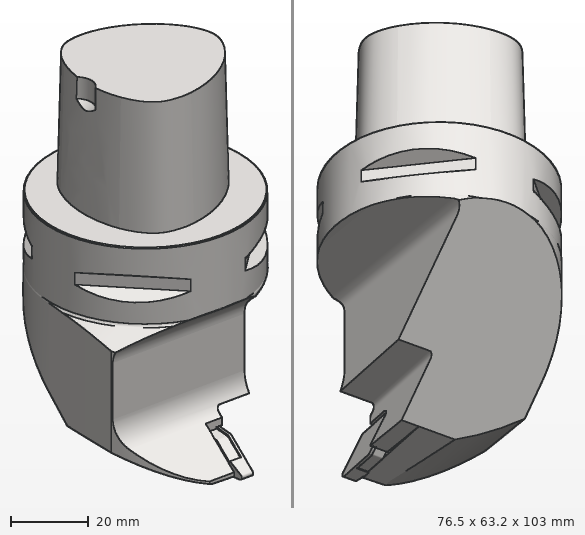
import cadquery as cq
import math


SHANK_LENGTH = 38.0
SHANK_MEAN_RADIUS = 22.1
SHANK_TAPER = 1 / 40
LOBE_HEIGHT = 1.5
FLAT_HALF_ANGLE = 22.5
POINTS_PER_CURVE = 9

NOTCH_RADIUS = 5.2
NOTCH_DEEPEST_Y = -17.7
NOTCH_DEPTH = 6.4
NOTCH_TIP_DEPTH = 3.9

FLANGE_RADIUS = 31.5
FLANGE_THICKNESS = 22.4
FLANGE_CHAMFER = 0.3
GROOVE_FLOOR_DISTANCE = 27.7
GROOVE_CENTRE_Z = -12.2
GROOVE_FLOOR_WIDTH = 3.5
GROOVE_SIDE_ANGLE = 30
GROOVE_COUNT = 4

TOOL_BOTTOM = -65.0
NECK_RADIUS = 31.6
NECK_FRONT_Y = -31.7
NECK_FRONT_START_X = 15.1
NECK_FRONT_END_X = 26.1
HEAD_END_X = 42.7
HEAD_CORNER_Y = -12.6
HEAD_ARC_MIDDLE = (36.7, -23.5)
NECK_FLAT_Y = 11.7
NECK_FLAT_FILLET = 3.1
UNDERSIDE_EDGE_Z = -22.1
UNDERSIDE_SLOPE = 5
SHOULDER_FILLET = 0.8
SHOULDER_SLOPE = 16
NECK_WALL_X = 26.5
UPPER_ARC_RADIUS = 8.0
UPPER_ARC_Z = -29.0
LOWER_ARC_RADIUS = 10.0
LOWER_ARC_Z = -45.6
BACK_SLOPE_TOP = (-31.5, -21.6)
BACK_SLOPE_BOTTOM = (16.3, -63.0)
BELLY_ARC = [(NECK_FRONT_Y, -55.5), (-20.9, -61.1), (-11.7, -64.3)]
RELIEF_ANGLE = 3
HEAD_FACE_Y = 0.8
STEP_START = (1.3, -50.2)
STEP_FILLET = 1.2

INSERT_ANGLE = 35
INSERT_SIDE = 14.0
INSERT_THICKNESS = 4.5
NOSE_RADIUS = 0.8
NOSE_X = 45.0
BLUNT_RADIUS = 1.2
LAND_THICKNESS = 0.9
FLANK_RECESS = 0.4
NOSE_BLOCK_LENGTH = 7.2
NOSE_HEEL_START_X = 41.2
NOSE_HEEL_ANGLE = 12
POCKET_OPEN_X = 30.9

MARGIN = 5.2


def xz_prism(sketch, y_low, y_high):
    """Extrude a closed XZ outline between two Y values."""
    return sketch.extrude(y_high - y_low).translate((0, y_high, 0))


def lobe_point(mean_radius, normal_angle, z):
    """Point of the shank outline whose outward normal has the given angle in degrees from -Y."""
    turn = math.radians(normal_angle)
    reach = mean_radius - LOBE_HEIGHT * math.cos(3 * turn)
    shift = 3 * LOBE_HEIGHT * math.sin(3 * turn)
    x = reach * math.sin(turn) + shift * math.cos(turn)
    y = -reach * math.cos(turn) + shift * math.sin(turn)
    return cq.Vector(x, y, z)


def lobe_direction(normal_angle):
    turn = math.radians(normal_angle)
    return cq.Vector(math.cos(turn), math.sin(turn), 0)


def shank_outline(z):
    """Six curves: three flat sides and three lobes."""
    mean_radius = SHANK_MEAN_RADIUS - SHANK_TAPER * z
    curves = []
    for side in range(3):
        flat_start = 120 * side - FLAT_HALF_ANGLE
        flat_end = 120 * side + FLAT_HALF_ANGLE
        lobe_end = flat_start + 120
        for start, end in [(flat_start, flat_end), (flat_end, lobe_end)]:
            step = (end - start) / (POINTS_PER_CURVE - 1)
            points = [lobe_point(mean_radius, start + i * step, z) for i in range(POINTS_PER_CURVE)]
            ends = [lobe_direction(start), lobe_direction(end)]
            curves.append(cq.Edge.makeSpline(points, tangents=ends))
    return cq.Wire.assembleEdges(curves)


def make_shank():
    shank = cq.Workplane(cq.Solid.makeLoft([shank_outline(0), shank_outline(SHANK_LENGTH)], True))
    notch_floor = SHANK_LENGTH - NOTCH_DEPTH
    notch = (
        cq.Workplane("XZ")
        .moveTo(0, SHANK_LENGTH + MARGIN)
        .lineTo(NOTCH_RADIUS, SHANK_LENGTH + MARGIN)
        .lineTo(NOTCH_RADIUS, notch_floor)
        .lineTo(0, notch_floor - NOTCH_TIP_DEPTH)
        .close()
        .revolve(360, (0, 0, 0), (0, 1, 0))
        .translate((0, NOTCH_DEEPEST_Y - NOTCH_RADIUS, 0))
    )
    return shank.cut(notch)


def make_flange():
    flange = cq.Workplane("XY").circle(FLANGE_RADIUS).extrude(-FLANGE_THICKNESS)
    flange = flange.faces(">Z").edges().chamfer(FLANGE_CHAMFER)
    depth = FLANGE_RADIUS + MARGIN - GROOVE_FLOOR_DISTANCE
    floor_half = GROOVE_FLOOR_WIDTH / 2
    mouth_half = floor_half + depth * math.tan(math.radians(GROOVE_SIDE_ANGLE))
    mouth_x = GROOVE_FLOOR_DISTANCE + depth
    groove_outline = cq.Workplane("XZ").polyline(
        [
            (GROOVE_FLOOR_DISTANCE, GROOVE_CENTRE_Z - floor_half),
            (mouth_x, GROOVE_CENTRE_Z - mouth_half),
            (mouth_x, GROOVE_CENTRE_Z + mouth_half),
            (GROOVE_FLOOR_DISTANCE, GROOVE_CENTRE_Z + floor_half),
        ]
    ).close()
    groove = xz_prism(groove_outline, -FLANGE_RADIUS, FLANGE_RADIUS)
    spacing = 360 / GROOVE_COUNT
    for i in range(GROOVE_COUNT):
        flange = flange.cut(groove.rotate((0, 0, 0), (0, 0, 1), spacing * (i + 0.5)))
    return flange


def neck_plan():
    """Neck and head seen along the axis: round behind, with the head reaching out to +X."""
    face_start_x = math.sqrt(NECK_RADIUS**2 - HEAD_FACE_Y**2)
    return (
        cq.Workplane("XY", origin=(0, 0, TOOL_BOTTOM))
        .moveTo(face_start_x, HEAD_FACE_Y)
        .threePointArc((-NECK_RADIUS, 0), (0, -NECK_RADIUS))
        .lineTo(NECK_FRONT_START_X, NECK_FRONT_Y)
        .lineTo(NECK_FRONT_END_X, NECK_FRONT_Y)
        .threePointArc(HEAD_ARC_MIDDLE, (HEAD_END_X, HEAD_CORNER_Y))
        .lineTo(HEAD_END_X, HEAD_FACE_Y)
        .close()
        .extrude(-TOOL_BOTTOM - FLANGE_THICKNESS / 2)
    )


def shoulder_limit():
    """Space below the sloping shoulder, which falls away outside the flange."""
    slope = math.radians(SHOULDER_SLOPE)
    fillet_centre_r = FLANGE_RADIUS + SHOULDER_FILLET

    def fillet_point(turn):
        return (
            fillet_centre_r - SHOULDER_FILLET * math.cos(turn),
            -FLANGE_THICKNESS - SHOULDER_FILLET * math.sin(turn),
        )

    fillet_end_turn = math.pi / 2 - slope
    fillet_end = fillet_point(fillet_end_turn)
    outer_radius = HEAD_END_X + MARGIN
    outer_z = fillet_end[1] - (outer_radius - fillet_end[0]) * math.tan(slope)
    return (
        cq.Workplane("XZ")
        .moveTo(0, TOOL_BOTTOM - MARGIN)
        .lineTo(outer_radius, TOOL_BOTTOM - MARGIN)
        .lineTo(outer_radius, outer_z)
        .lineTo(*fillet_end)
        .threePointArc(fillet_point(fillet_end_turn / 2), fillet_point(0))
        .lineTo(0, -FLANGE_THICKNESS)
        .close()
        .revolve(360, (0, 0, 0), (0, 1, 0))
    )


def side_limit():
    """YZ section: sloping underside, flat +Y face, and rounded belly under the head."""
    slope = math.tan(math.radians(UNDERSIDE_SLOPE))
    flat_top = UNDERSIDE_EDGE_Z - (FLANGE_RADIUS - NECK_FLAT_Y) * slope
    front_y = NECK_FRONT_Y - MARGIN
    belly_start, belly_middle, belly_end = BELLY_ARC
    section = (
        cq.Workplane("YZ")
        .moveTo(FLANGE_RADIUS, 0)
        .lineTo(FLANGE_RADIUS, UNDERSIDE_EDGE_Z)
        .lineTo(NECK_FLAT_Y, flat_top)
        .lineTo(NECK_FLAT_Y, TOOL_BOTTOM)
        .lineTo(*belly_end)
        .threePointArc(belly_middle, belly_start)
        .lineTo(front_y, belly_start[1])
        .lineTo(front_y, 0)
        .close()
        .extrude(HEAD_END_X + MARGIN, both=True)
    )
    inner_edge = cq.selectors.BoxSelector(
        (-MARGIN, NECK_FLAT_Y - 1, flat_top - 1), (MARGIN, NECK_FLAT_Y + 1, flat_top + 1)
    )
    return section.edges(inner_edge).fillet(NECK_FLAT_FILLET)


def front_limit():
    """XZ section: the straight back slope, the hollow neck wall and the sloping head."""
    edge_angle = math.radians(RELIEF_ANGLE + INSERT_ANGLE)
    slope_x, slope_top = BACK_SLOPE_TOP
    back_x, back_z = BACK_SLOPE_BOTTOM
    back_rate = (back_z - slope_top) / (back_x - slope_x)
    left = slope_x - MARGIN
    left_z = slope_top - MARGIN * back_rate
    upper_x = NECK_WALL_X + UPPER_ARC_RADIUS
    upper_top = (upper_x, UPPER_ARC_Z + UPPER_ARC_RADIUS)
    diagonal = UPPER_ARC_RADIUS * math.sqrt(0.5)
    upper_middle = (upper_x - diagonal, UPPER_ARC_Z + diagonal)

    def lower_point(slope):
        return (
            NECK_WALL_X + LOWER_ARC_RADIUS * (1 - math.sin(slope)),
            LOWER_ARC_Z - LOWER_ARC_RADIUS * math.cos(slope),
        )

    arc_end_x, arc_end_z = lower_point(edge_angle)
    lower_middle = lower_point((edge_angle + math.pi / 2) / 2)
    head_top = arc_end_z - (HEAD_END_X - arc_end_x) * math.tan(edge_angle)
    head_bottom = back_z - (HEAD_END_X - back_x) * math.tan(math.radians(RELIEF_ANGLE))
    outline = (
        cq.Workplane("XZ")
        .moveTo(left, MARGIN)
        .lineTo(left, left_z)
        .lineTo(back_x, back_z)
        .lineTo(HEAD_END_X, head_bottom)
        .lineTo(HEAD_END_X, head_top)
        .lineTo(arc_end_x, arc_end_z)
        .threePointArc(lower_middle, (NECK_WALL_X, LOWER_ARC_Z))
        .lineTo(NECK_WALL_X, UPPER_ARC_Z)
        .threePointArc(upper_middle, upper_top)
        .lineTo(upper_x, MARGIN)
        .close()
    )
    return xz_prism(outline, NECK_FRONT_Y - MARGIN, FLANGE_RADIUS + MARGIN)


def head_step():
    """Space above the head's working face, under a floor tilted by the relief angle."""
    start_x, start_z = STEP_START
    left = start_x - MARGIN
    right = HEAD_END_X + MARGIN
    tilt = math.tan(math.radians(RELIEF_ANGLE))
    outline = cq.Workplane("XZ").polyline(
        [
            (left, start_z + MARGIN * tilt),
            (right, start_z - (right - start_x) * tilt),
            (right, TOOL_BOTTOM - MARGIN),
            (left, TOOL_BOTTOM - MARGIN),
        ]
    ).close()
    step = xz_prism(outline, HEAD_FACE_Y, FLANGE_RADIUS)
    return step.faces("<Y").edges(">Z").fillet(STEP_FILLET)


def insert_frame():
    """Sharp tip of the insert in XZ, with unit directions along its bottom and sloping edges."""
    bottom_turn = math.radians(180 - RELIEF_ANGLE)
    slope_turn = bottom_turn - math.radians(INSERT_ANGLE)
    middle_turn = (bottom_turn + slope_turn) / 2
    tip_distance = NOSE_RADIUS / math.sin(math.radians(INSERT_ANGLE / 2))
    tip = (
        NOSE_X - NOSE_RADIUS - tip_distance * math.cos(middle_turn),
        TOOL_BOTTOM + NOSE_RADIUS - tip_distance * math.sin(middle_turn),
    )
    bottom_way = (math.cos(bottom_turn), math.sin(bottom_turn))
    slope_way = (math.cos(slope_turn), math.sin(slope_turn))
    return tip, bottom_way, slope_way


def rhombus(y_low, y_high):
    """Prism with the insert's outline, rounded at the acute and obtuse corners."""
    tip, bottom_way, slope_way = insert_frame()

    def corner(along_bottom, along_slope):
        bottom_step = INSERT_SIDE * along_bottom
        slope_step = INSERT_SIDE * along_slope
        x = tip[0] + bottom_step * bottom_way[0] + slope_step * slope_way[0]
        z = tip[1] + bottom_step * bottom_way[1] + slope_step * slope_way[1]
        return x, z

    outline = cq.Workplane("XZ").polyline([corner(0, 0), corner(1, 0), corner(1, 1), corner(0, 1)]).close()
    prism = xz_prism(outline, y_low, y_high)
    prism = prism.edges("|Y").edges("<X or >X").fillet(NOSE_RADIUS)
    blunt_corners = [corner(1, 0), corner(0, 1)]
    for x, z in blunt_corners:
        near = cq.selectors.NearestToPointSelector((x, (y_low + y_high) / 2, z))
        prism = prism.edges("|Y").edges(near).fillet(BLUNT_RADIUS)
    return prism


def make_insert():
    tip, bottom_way, slope_way = insert_frame()
    land = rhombus(-LAND_THICKNESS, 0)
    full = rhombus(-INSERT_THICKNESS, -LAND_THICKNESS)
    core = (
        full.faces("<Y")
        .wires()
        .toPending()
        .workplane()
        .offset2D(-FLANK_RECESS)
        .extrude(LAND_THICKNESS - INSERT_THICKNESS, combine=False)
    )
    nose_region = cq.Workplane("XZ").polyline(
        [
            tip,
            (tip[0] + NOSE_BLOCK_LENGTH * bottom_way[0], tip[1] + NOSE_BLOCK_LENGTH * bottom_way[1]),
            (tip[0] + NOSE_BLOCK_LENGTH * slope_way[0], tip[1] + NOSE_BLOCK_LENGTH * slope_way[1]),
        ]
    ).close()
    nose = full.intersect(xz_prism(nose_region, -INSERT_THICKNESS, -LAND_THICKNESS))
    heel_rise = (tip[0] - NOSE_HEEL_START_X) * math.tan(math.radians(NOSE_HEEL_ANGLE))
    heel = (
        cq.Workplane("XY", origin=(0, 0, TOOL_BOTTOM - MARGIN))
        .moveTo(NOSE_HEEL_START_X, -INSERT_THICKNESS)
        .lineTo(tip[0], -INSERT_THICKNESS + heel_rise)
        .lineTo(tip[0], -INSERT_THICKNESS)
        .close()
        .extrude(INSERT_SIDE)
    )
    return land.union(core).union(nose).cut(heel)


def pocket_box(x_start, z_top):
    """Open part of the pocket: everything above the seat, beyond x_start and below z_top."""
    floor_z = TOOL_BOTTOM - MARGIN
    box = cq.Workplane("XY").box(
        HEAD_END_X + MARGIN - x_start, INSERT_THICKNESS + MARGIN, z_top - floor_z, centered=False
    )
    return box.translate((x_start, -INSERT_THICKNESS, floor_z))


def make_holder(insert):
    neck = neck_plan().intersect(shoulder_limit()).intersect(side_limit())
    body = make_flange().union(neck).intersect(front_limit()).cut(head_step())
    body = body.cut(pocket_box(POCKET_OPEN_X, STEP_START[1])).cut(pocket_box(*BACK_SLOPE_BOTTOM))
    body = body.cut(rhombus(0, HEAD_FACE_Y)).cut(insert)
    return body.union(make_shank())


insert = make_insert()
holder = make_holder(insert)
result = cq.Compound.makeCompound([holder.val(), *insert.vals()])